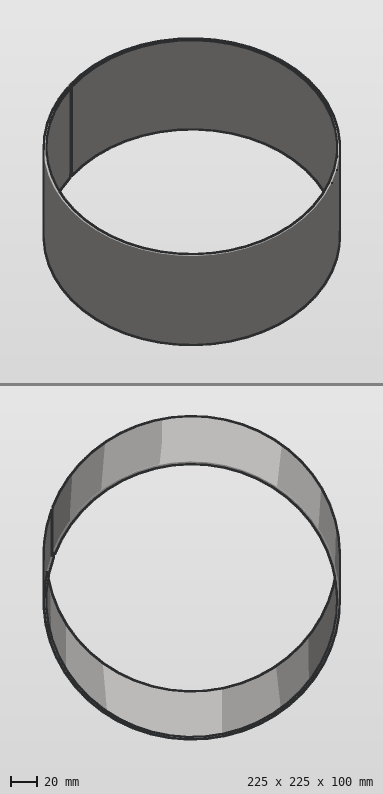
import cadquery as cq

outer_diameter = 225.0
height = 100.0
wall = 2.2
slit_width = 2.0
rim_fillet = 0.5

outer_radius = outer_diameter / 2
inner_radius = outer_radius - wall

ring = cq.Workplane("XY").circle(outer_radius).circle(inner_radius).extrude(height)

ring = ring.edges(cq.selectors.RadiusNthSelector(-1)).fillet(rim_fillet)

slit = (
    cq.Workplane("XY")
    .center(-outer_radius, slit_width / 2)
    .rect(4 * wall, slit_width)
    .extrude(height)
)

result = ring.cut(slit)